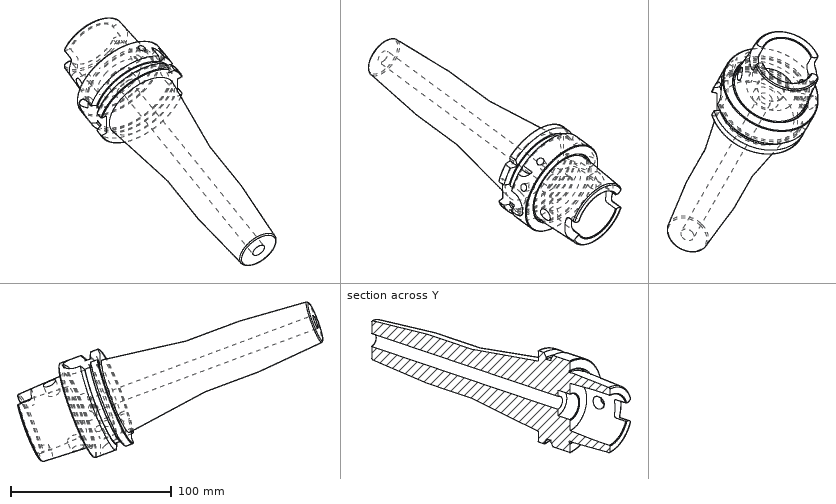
import cadquery as cq
import math

SHANK_LENGTH = 32.0
GAUGE_LENGTH = 160.0

TAPER_RADIUS = 24.0
TAPER_SLOPE = 1.0 / 20.0
TAPER_END_X = -2.6
SHANK_CHAMFER_LENGTH = 0.9
SHANK_CHAMFER_DEPTH = 0.8
RELIEF_START_X = -1.4
RELIEF_RADIUS = 23.6
RELIEF_DEPTH = 0.8
RELIEF_FLOOR_RADIUS = 24.5
RELIEF_MOUTH_RADIUS = 25.2

FLANGE_RADIUS = 31.5
FLANGE_WIDTH = 26.0
FLANGE_CHAMFER = 0.5
GROOVE_RADIUS = 27.45
GROOVE_CENTER_X = 17.65
GROOVE_FLOOR_WIDTH = 3.5
GROOVE_OPENING = 6.9
GROOVE_FLANK_ANGLE = 60.0

NECK_BASE_RADIUS = 24.2
NECK_END_X = 79.5
NECK_RADIUS = 17.0
NOSE_START_X = 115.4
NOSE_TIP_RADIUS = 13.5
NOSE_CHAMFER = 0.8

BORE_RADIUS = 17.0
BORE_FLOOR_RADIUS = 16.0
BORE_MOUTH_CHAMFER = 0.5
BORE_STRAIGHT_LENGTH = 12.8
BORE_BOTTOM_X = 0.0
TUBE_SEAT_RADIUS = 8.6
TUBE_SEAT_CHAMFER = 0.5
TUBE_SEAT_DEPTH = 10.0
COOLANT_RADIUS = 4.3
CROSS_HOLE_DIAMETER = 8.4
CROSS_HOLE_X = -9.2

KEY_SLOT_HALF_WIDTH = 6.27
KEY_LIP_RADIUS = 3.9
KEY_LIP_DISTANCE = 20.9
KEY_FLOOR_FILLET = 2.0
KEY_SLOT_DEPTHS = {-1: 10.0, 1: 6.3}

GRIP_SLOT_HALF_WIDTH = 9.0
GRIP_SLOT_FLOOR = 26.5
GRIP_SLOT_FILLET = 0.6
GRIP_SLOT_START_X = 2.9
GRIP_RAMP_FOOT_X = 5.2

NOTCH_CORNER = 20.0
NOTCH_RUNOUT_X = 12.5
NOTCH_RUNOUT_RADIUS = 6.5

FLANGE_HOLE_DIAMETER = 4.7
FLANGE_HOLE_DEPTH = 8.0
FLANGE_HOLE_X = 6.3
FLANGE_HOLE_ANGLES = (24.0, 60.0)

CLEARANCE = 40.0


def revolve_about_x(points):
    """Revolve an (x, radius) outline about the X axis."""
    return cq.Workplane("XZ").polyline(points).close().revolve(360, (0, 0, 0), (1, 0, 0))


def taper_radius(x):
    """Outer radius of the shank cone at a place along X."""
    return TAPER_RADIUS + TAPER_SLOPE * x


def make_body():
    """Solid of revolution: taper shank, flange with its groove, and slender nose."""
    shank_end = -SHANK_LENGTH
    chamfer_x = shank_end + SHANK_CHAMFER_LENGTH
    half_floor = GROOVE_FLOOR_WIDTH / 2
    half_opening = GROOVE_OPENING / 2
    flank_height = (half_opening - half_floor) * math.tan(math.radians(GROOVE_FLANK_ANGLE))
    flank_foot_radius = FLANGE_RADIUS - flank_height
    chamfer_radius = FLANGE_RADIUS - FLANGE_CHAMFER
    nose_slope = (NECK_RADIUS - NOSE_TIP_RADIUS) / (GAUGE_LENGTH - NOSE_START_X)
    outline = [
        (shank_end, 0),
        (shank_end, taper_radius(chamfer_x) - SHANK_CHAMFER_DEPTH),
        (chamfer_x, taper_radius(chamfer_x)),
        (TAPER_END_X, taper_radius(TAPER_END_X)),
        (RELIEF_START_X, taper_radius(TAPER_END_X)),
        (RELIEF_DEPTH, RELIEF_RADIUS),
        (RELIEF_DEPTH, RELIEF_FLOOR_RADIUS),
        (0, RELIEF_MOUTH_RADIUS),
        (0, chamfer_radius),
        (FLANGE_CHAMFER, FLANGE_RADIUS),
        (GROOVE_CENTER_X - half_opening, FLANGE_RADIUS),
        (GROOVE_CENTER_X - half_floor, flank_foot_radius),
        (GROOVE_CENTER_X - half_floor, GROOVE_RADIUS),
        (GROOVE_CENTER_X + half_floor, GROOVE_RADIUS),
        (GROOVE_CENTER_X + half_floor, flank_foot_radius),
        (GROOVE_CENTER_X + half_opening, FLANGE_RADIUS),
        (FLANGE_WIDTH - FLANGE_CHAMFER, FLANGE_RADIUS),
        (FLANGE_WIDTH, chamfer_radius),
        (FLANGE_WIDTH, NECK_BASE_RADIUS),
        (NECK_END_X, NECK_RADIUS),
        (NOSE_START_X, NECK_RADIUS),
        (GAUGE_LENGTH - NOSE_CHAMFER, NOSE_TIP_RADIUS + nose_slope * NOSE_CHAMFER),
        (GAUGE_LENGTH, NOSE_TIP_RADIUS - NOSE_CHAMFER),
        (GAUGE_LENGTH, 0),
    ]
    return revolve_about_x(outline)


def make_bores():
    """Clamping bore narrowing to its floor, coolant tube seat and coolant hole, all on the axis."""
    mouth = -SHANK_LENGTH
    seat_end = BORE_BOTTOM_X + TUBE_SEAT_DEPTH
    outline = [
        (mouth, 0),
        (mouth, BORE_RADIUS + BORE_MOUTH_CHAMFER),
        (mouth + BORE_MOUTH_CHAMFER, BORE_RADIUS),
        (mouth + BORE_STRAIGHT_LENGTH, BORE_RADIUS),
        (BORE_BOTTOM_X, BORE_FLOOR_RADIUS),
        (BORE_BOTTOM_X, TUBE_SEAT_RADIUS + TUBE_SEAT_CHAMFER),
        (BORE_BOTTOM_X + TUBE_SEAT_CHAMFER, TUBE_SEAT_RADIUS),
        (seat_end, TUBE_SEAT_RADIUS),
        (seat_end, COOLANT_RADIUS),
        (GAUGE_LENGTH, COOLANT_RADIUS),
        (GAUGE_LENGTH, 0),
    ]
    return revolve_about_x(outline)


def make_cross_hole():
    """Hole through both walls of the hollow shank."""
    hole = cq.Workplane("XZ").center(CROSS_HOLE_X, 0).circle(CROSS_HOLE_DIAMETER / 2)
    return hole.extrude(CLEARANCE, both=True)


def make_key_slot(side, depth):
    """Drive slot open at the shank end, with rounded lips and a filleted floor."""
    half = KEY_SLOT_HALF_WIDTH
    arc_start_y = KEY_LIP_DISTANCE - KEY_LIP_RADIUS
    arc_end_z = half + KEY_LIP_RADIUS
    arc_mid_y = arc_start_y + KEY_LIP_RADIUS * math.sin(math.pi / 4)
    arc_mid_z = arc_end_z - KEY_LIP_RADIUS * math.cos(math.pi / 4)
    slot = (
        cq.Workplane("YZ", origin=(-SHANK_LENGTH, 0, 0))
        .moveTo(0, -half)
        .lineTo(arc_start_y, -half)
        .threePointArc((arc_mid_y, -arc_mid_z), (KEY_LIP_DISTANCE, -arc_end_z))
        .lineTo(KEY_LIP_DISTANCE, -CLEARANCE)
        .lineTo(CLEARANCE, -CLEARANCE)
        .lineTo(CLEARANCE, CLEARANCE)
        .lineTo(KEY_LIP_DISTANCE, CLEARANCE)
        .lineTo(KEY_LIP_DISTANCE, arc_end_z)
        .threePointArc((arc_mid_y, arc_mid_z), (arc_start_y, half))
        .lineTo(0, half)
        .close()
        .extrude(depth)
    )
    lip_zone = cq.selectors.BoxSelector(
        (-CLEARANCE, KEY_FLOOR_FILLET, -arc_end_z - CLEARANCE / 2),
        (CLEARANCE, KEY_LIP_DISTANCE + KEY_FLOOR_FILLET, arc_end_z + CLEARANCE / 2),
    )
    slot = slot.newObject(slot.faces(">X").edges(lip_zone).vals()).fillet(KEY_FLOOR_FILLET)
    return slot if side > 0 else slot.mirror("XZ")


def make_grip_slot(side):
    """Round-ended gripper slot with a flat filleted floor and a ramp at its blind end."""
    half = GRIP_SLOT_HALF_WIDTH
    end_center_x = GRIP_SLOT_START_X + half
    slot = (
        cq.Workplane("XZ", origin=(0, GRIP_SLOT_FLOOR, 0))
        .moveTo(end_center_x, -half)
        .lineTo(CLEARANCE, -half)
        .lineTo(CLEARANCE, half)
        .lineTo(end_center_x, half)
        .threePointArc((GRIP_SLOT_START_X, 0), (end_center_x, -half))
        .close()
        .extrude(-CLEARANCE)
        .faces("<Y")
        .edges()
        .fillet(GRIP_SLOT_FILLET)
    )
    ramp = (
        cq.Workplane("XY")
        .moveTo(GRIP_SLOT_START_X, GRIP_SLOT_FLOOR)
        .lineTo(GRIP_RAMP_FOOT_X, GRIP_SLOT_FLOOR)
        .lineTo(GRIP_SLOT_START_X, FLANGE_RADIUS)
        .close()
        .extrude(half, both=True)
    )
    slot = slot.cut(ramp)
    return slot if side > 0 else slot.mirror("XZ")


def make_notch():
    """Right-angled corner notch, open at the flange rear, whose floor runs out on an arc."""
    runout = NOTCH_RUNOUT_RADIUS
    top = NOTCH_CORNER + runout
    return (
        cq.Workplane("XZ", origin=(0, NOTCH_CORNER, 0))
        .moveTo(NOTCH_RUNOUT_X, NOTCH_CORNER)
        .lineTo(FLANGE_WIDTH, NOTCH_CORNER)
        .lineTo(FLANGE_WIDTH, top)
        .lineTo(NOTCH_RUNOUT_X - runout, top)
        .radiusArc((NOTCH_RUNOUT_X, NOTCH_CORNER), -runout)
        .close()
        .extrude(-CLEARANCE)
    )


def make_flange_hole(angle):
    """Radial blind hole, turned from +Z toward +Y by the given angle in degrees."""
    hole = (
        cq.Workplane("XY", origin=(FLANGE_HOLE_X, 0, FLANGE_RADIUS - FLANGE_HOLE_DEPTH))
        .circle(FLANGE_HOLE_DIAMETER / 2)
        .extrude(CLEARANCE)
    )
    return hole.rotate((0, 0, 0), (1, 0, 0), -angle)


result = make_body().cut(make_bores()).cut(make_cross_hole())
for side, depth in KEY_SLOT_DEPTHS.items():
    result = result.cut(make_key_slot(side, depth))
for side in (-1, 1):
    result = result.cut(make_grip_slot(side))
result = result.cut(make_notch())
for angle in FLANGE_HOLE_ANGLES:
    result = result.cut(make_flange_hole(angle))